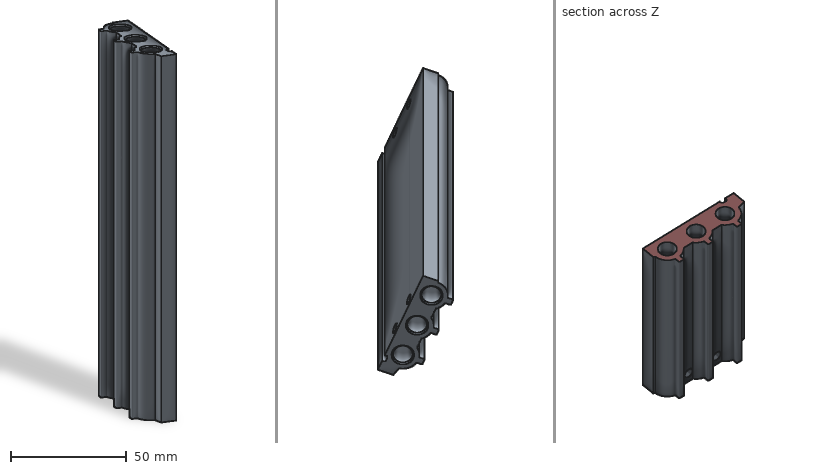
import cadquery as cq
import math

LENGTH = 166.5
WIDTH = 52.1
DEPTH = 16.8

PORT_COUNT = 3
PORT_PITCH = 16.5
FIRST_PORT_INSET = 8.0
PORT_TO_BACK = 7.2
BORE_DIAMETER = 8.0
DRILL_DIAMETER = 8.5
DRILL_DEPTH = 16.6
MOUTH_DIAMETER = 9.8

LOBE_RADIUS = 7.2
SIDE_DEPTH = 7.2
FACET_ANGLE = 15.0
VALLEY_DEPTH = 11.5
RIB_WIDTH = 3.0
RIB_ROOT_RADIUS = 0.3
RIB_TIP_RADIUS = 0.3

GROOVE_INSET = 6.5
GROOVE_WIDTH = 3.0
GROOVE_DEPTH = 1.5
GROOVE_CORNER_RADIUS = 0.78

MOUNT_DIAMETER = 4.5
MOUNT_OFFSET = 8.0
MOUNT_END_INSET = 5.0

RIGHT = WIDTH / 2
LEFT = -RIGHT
BACK = DEPTH / 2
FRONT = -BACK
TOP = LENGTH / 2
BOTTOM = -TOP
PORT_Y = BACK - PORT_TO_BACK
PORT_XS = [LEFT + FIRST_PORT_INSET + i * PORT_PITCH for i in range(PORT_COUNT)]


def bar(x_center, width, y_min, y_max):
    """Full-length rectangular bar."""
    return (
        cq.Workplane("XY", origin=(x_center, (y_min + y_max) / 2, BOTTOM))
        .rect(width, y_max - y_min)
        .extrude(LENGTH)
    )


def plate():
    """Flat plate whose sides turn inward along sloped facets to the outer lobes."""
    first_x, last_x = PORT_XS[0], PORT_XS[-1]
    side_y = BACK - SIDE_DEPTH
    valley_y = BACK - VALLEY_DEPTH
    slope = math.tan(math.radians(FACET_ANGLE))
    outline = [
        (LEFT, BACK),
        (RIGHT, BACK),
        (RIGHT, side_y),
        (last_x, side_y - (RIGHT - last_x) * slope),
        (last_x, valley_y),
        (first_x, valley_y),
        (first_x, side_y - (first_x - LEFT) * slope),
        (LEFT, side_y),
    ]
    return cq.Workplane("XY", origin=(0, 0, BOTTOM)).polyline(outline).close().extrude(LENGTH)


def lobe_with_rib(x):
    """Round wall around a port with a filleted rib on its -Y side."""
    lobe = cq.Workplane("XY", origin=(x, PORT_Y, BOTTOM)).circle(LOBE_RADIUS).extrude(LENGTH)
    rib = bar(x, RIB_WIDTH, FRONT, PORT_Y).edges("|Z and <Y").fillet(RIB_TIP_RADIUS)
    half_width = RIB_WIDTH / 2
    root_y = PORT_Y - math.sqrt(LOBE_RADIUS**2 - half_width**2)
    joined = lobe.union(rib)
    for root_x in (x - half_width, x + half_width):
        root_edge = cq.selectors.NearestToPointSelector((root_x, root_y, 0))
        joined = joined.edges(root_edge).fillet(RIB_ROOT_RADIUS)
    return joined


def port_cutter(x):
    """Stepped bore, symmetric about the middle of the length, with chamfered mouths."""
    bore_radius = BORE_DIAMETER / 2
    drill_radius = DRILL_DIAMETER / 2
    mouth_radius = MOUTH_DIAMETER / 2
    step_z = TOP - DRILL_DEPTH
    chamfer_z = TOP - (mouth_radius - drill_radius)
    half_section = [
        (0, 0),
        (bore_radius, 0),
        (bore_radius, step_z),
        (drill_radius, step_z),
        (drill_radius, chamfer_z),
        (mouth_radius, TOP),
        (0, TOP),
    ]
    upper = (
        cq.Workplane("XZ", origin=(x, PORT_Y, 0))
        .polyline(half_section)
        .close()
        .revolve(360, (0, 0, 0), (0, 1, 0))
    )
    return upper.union(upper.mirror("XY"))


def groove_cutter():
    """Full-length groove with rounded bottom corners."""
    groove = bar(RIGHT - GROOVE_INSET, GROOVE_WIDTH, BACK - GROOVE_DEPTH, BACK)
    return groove.edges("|Z and <Y").fillet(GROOVE_CORNER_RADIUS)


def mount_hole_cutter():
    """Two holes near each end, one in each valley."""
    middle_x = PORT_XS[PORT_COUNT // 2]
    hole_z = TOP - MOUNT_END_INSET
    centers = [
        (middle_x + side * MOUNT_OFFSET, end * hole_z)
        for side in (-1, 1)
        for end in (-1, 1)
    ]
    return (
        cq.Workplane("XZ", origin=(0, BACK, 0))
        .pushPoints(centers)
        .circle(MOUNT_DIAMETER / 2)
        .extrude(DEPTH)
    )


result = plate()
for port_x in PORT_XS:
    result = result.union(lobe_with_rib(port_x))
for port_x in PORT_XS:
    result = result.cut(port_cutter(port_x))
result = result.cut(groove_cutter())
result = result.cut(mount_hole_cutter())